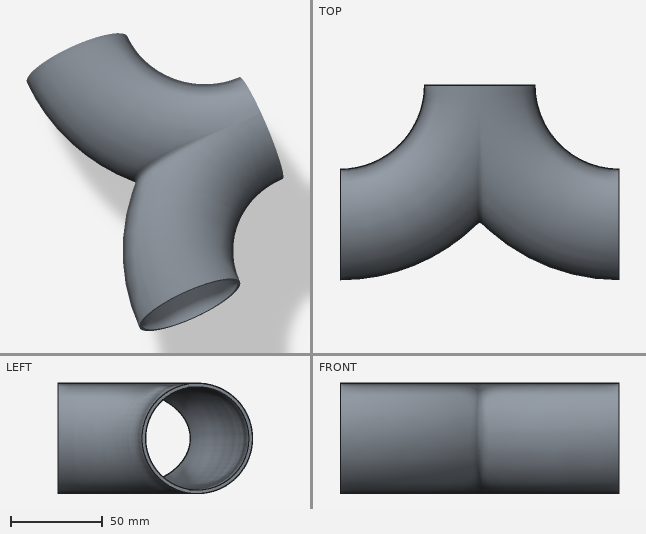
import cadquery as cq

outer_diameter = 60.3
wall = 2.0
bend_radius = 76.0
crease_radius = 2.0

bore_diameter = outer_diameter - 2 * wall
trim_size = 4 * bend_radius


def elbow_half(diameter, side):
    """Solid 90-degree bend leading to X = side * bend_radius, kept on its own side of X = 0."""
    bend_centre = side * bend_radius
    axis_start = (bend_centre, 0, 0)
    axis_end = (bend_centre, side, 0)
    bend = cq.Workplane("XZ").circle(diameter / 2).revolve(90, axis_start, axis_end)
    own_side = cq.Workplane("XY").box(trim_size, trim_size, trim_size)
    own_side = own_side.translate((side * trim_size / 2, 0, 0))
    return bend.intersect(own_side)


def twin_bend(diameter):
    """Both elbow halves as one solid, with the crease between them rounded."""
    joined = elbow_half(diameter, -1).union(elbow_half(diameter, 1))
    return joined.edges("%BSPLINE").fillet(crease_radius)


result = twin_bend(outer_diameter).cut(twin_bend(bore_diameter))